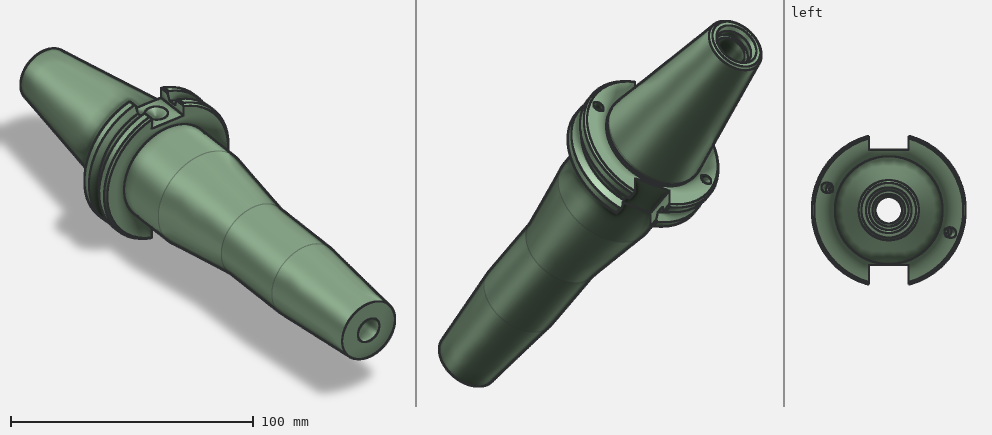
import cadquery as cq
import math


gauge_dia = 44.45
shank_length = 68.25
taper_per_length = 7 / 24
shank_chamfer = 1.0
undercut_dia = 43.6
gauge_land_length = 1.3

flange_dia = 63.5
flange_start = 3.18
flange_end = 19.05
flange_chamfer = 1.0
groove_center = 11.1
groove_floor_dia = 56.25
groove_floor_width = 3.8
groove_mouth_width = 7.2

slot_width = 16.1
top_slot_height = 25.0
bottom_slot_height = 22.6
slot_edge_chamfer = 0.6
dimple_dia = 9.53

nose_end = 160.0
body_end = 43.0
neck_start = 80.0
neck_end = 115.5
neck_dia = 34.0
nose_dia = 27.0

mouth_dia = 18.8
mouth_half_angle = 30
pilot_dia = 16.3
pilot_depth = 5.0
thread_core_dia = 13.39
thread_depth = 40.0
through_dia = 10.92
drill_tip_angle = 118

coolant_angle = 20
coolant_entry_radius = 27.0
coolant_tilt = 30
coolant_dia = 4.2
coolant_wide_depth = 3.0
coolant_duct_dia = 2.0
screw_recess_dia = 4.0
screw_recess_depth = 1.5
screw_hole_dia = 3.24


def revolve_profile(points):
    """Turn a closed list of (x, radius) points about the X axis."""
    profile = cq.Workplane("XY").polyline(points).close()
    return profile.revolve(360, (0, 0, 0), (1, 0, 0))


def turned_body():
    shank_end = -shank_length
    gauge_radius = gauge_dia / 2
    shank_end_radius = gauge_radius - shank_length * taper_per_length / 2
    undercut_radius = undercut_dia / 2
    undercut_depth = gauge_radius - undercut_radius
    flange_radius = flange_dia / 2
    floor_radius = groove_floor_dia / 2
    half_floor = groove_floor_width / 2
    half_mouth = groove_mouth_width / 2
    return revolve_profile([
        (shank_end, 0),
        (shank_end, shank_end_radius - shank_chamfer),
        (shank_end + shank_chamfer, shank_end_radius + shank_chamfer * taper_per_length / 2),
        (0, gauge_radius),
        (gauge_land_length, gauge_radius),
        (gauge_land_length + undercut_depth, undercut_radius),
        (flange_start, undercut_radius),
        (flange_start, flange_radius - flange_chamfer),
        (flange_start + flange_chamfer, flange_radius),
        (groove_center - half_mouth, flange_radius),
        (groove_center - half_floor, floor_radius),
        (groove_center + half_floor, floor_radius),
        (groove_center + half_mouth, flange_radius),
        (flange_end - flange_chamfer, flange_radius),
        (flange_end, flange_radius - flange_chamfer),
        (flange_end, gauge_radius),
        (body_end, gauge_radius),
        (neck_start, neck_dia / 2),
        (neck_end, neck_dia / 2),
        (nose_end, nose_dia / 2),
        (nose_end, 0),
    ])


def drill_tip_length(radius_change):
    """Axial length of a drill-point cone over the given change of radius."""
    return radius_change / math.tan(math.radians(drill_tip_angle / 2))


def bore():
    start = -shank_length
    mouth_chamfer_length = (mouth_dia - pilot_dia) / 2 / math.tan(math.radians(mouth_half_angle))
    core_end = start + thread_depth
    core_tip_length = drill_tip_length((thread_core_dia - through_dia) / 2)
    return revolve_profile([
        (start, 0),
        (start, mouth_dia / 2),
        (start + mouth_chamfer_length, pilot_dia / 2),
        (start + pilot_depth, pilot_dia / 2),
        (start + pilot_depth, thread_core_dia / 2),
        (core_end, thread_core_dia / 2),
        (core_end + core_tip_length, through_dia / 2),
        (nose_end, through_dia / 2),
        (nose_end, 0),
    ])


def drive_slot(floor_height):
    """Slot through the flange at +Z, with its long edges broken where they meet the rim."""
    top = flange_dia / 2
    half_width = slot_width / 2
    rim_height = math.sqrt(top**2 - (half_width + slot_edge_chamfer) ** 2)
    break_start = rim_height - slot_edge_chamfer
    half_opening = half_width + top - break_start
    return (
        cq.Workplane("YZ")
        .workplane(offset=flange_start)
        .moveTo(-half_width, floor_height)
        .lineTo(half_width, floor_height)
        .lineTo(half_width, break_start)
        .lineTo(half_opening, top)
        .lineTo(-half_opening, top)
        .lineTo(-half_width, break_start)
        .close()
        .extrude(flange_end - flange_start)
    )


def drill_tip(center, direction, radius):
    """Drill-point cone narrowing from its base circle along the direction."""
    return cq.Solid.makeCone(radius, 0, drill_tip_length(radius), center, direction)


def drilled_hole(start, direction, diameter, depth):
    """Blind round hole with a drill point beyond its full-diameter depth."""
    radius = diameter / 2
    barrel = cq.Solid.makeCylinder(radius, depth, start, direction)
    return barrel.fuse(drill_tip(start + direction * depth, direction, radius))


def dimple():
    """Drill-point dimple in the floor of the top drive slot."""
    return drill_tip(cq.Vector(groove_center, 0, top_slot_height), cq.Vector(0, 0, -1), dimple_dia / 2)


def coolant_holes():
    """Stepped hole slanting in from the flange face, met by a radial screw hole from the groove."""
    tilt = math.radians(coolant_tilt)
    floor_radius = groove_floor_dia / 2
    slant = cq.Vector(math.cos(tilt), 0, -math.sin(tilt))
    slant_length = (groove_center - flange_start) / math.cos(tilt)
    lead_in = coolant_dia
    slant_start = cq.Vector(flange_start, 0, coolant_entry_radius) - slant * lead_in
    wide = drilled_hole(slant_start, slant, coolant_dia, lead_in + coolant_wide_depth)
    duct = cq.Solid.makeCylinder(coolant_duct_dia / 2, lead_in + slant_length, slant_start, slant)

    inward = cq.Vector(0, 0, -1)
    meeting_radius = coolant_entry_radius - slant_length * math.sin(tilt)
    radial_lead_in = 1.0
    radial_start = cq.Vector(groove_center, 0, floor_radius + radial_lead_in)
    recess_length = radial_lead_in + screw_recess_depth
    recess = cq.Solid.makeCylinder(screw_recess_dia / 2, recess_length, radial_start, inward)
    screw_hole = drilled_hole(radial_start, inward, screw_hole_dia, radial_start.z - meeting_radius)
    return cq.Workplane(wide.fuse(duct, recess, screw_hole))


def turned_about_x(shape, angle):
    """Copy of a shape rotated about the spindle axis, angle in degrees."""
    return shape.rotate((0, 0, 0), (1, 0, 0), angle)


result = turned_body().cut(bore())
result = result.cut(drive_slot(top_slot_height))
result = result.cut(turned_about_x(drive_slot(bottom_slot_height), 180))
result = result.cut(cq.Workplane(dimple()))
for side_angle in (-90, 90):
    result = result.cut(turned_about_x(coolant_holes(), side_angle + coolant_angle))